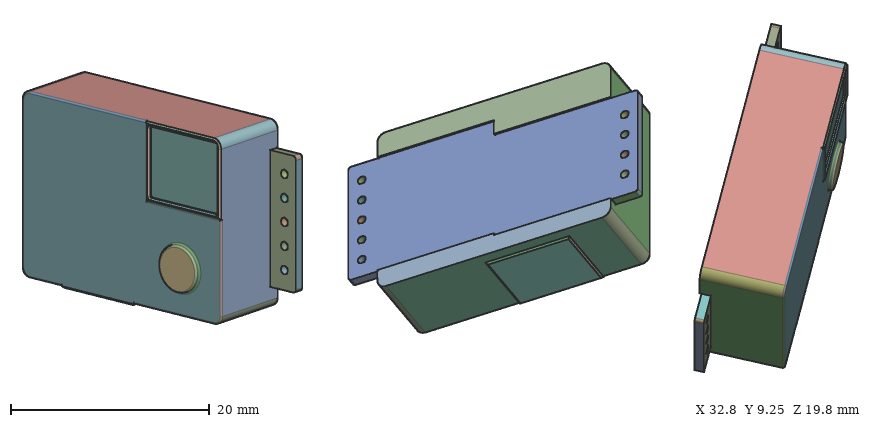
import cadquery as cq


overall_length = 32.8
left_tab_length = 3.0
right_tab_length = 3.4
housing_length = overall_length - left_tab_length - right_tab_length
housing_height = 19.6
housing_depth = 8.75
housing_left = -overall_length / 2 + left_tab_length
housing_right = housing_left + housing_length
housing_corner_radius = 1.0
step = 0.2
panel_root = 0.33

window_left = 3.08
window_bottom = 11.15
window_front = housing_depth + step
window_foot_radius = 0.2
recess_margin = 0.3
recess_corner_radius = 0.4
recess_bevel_angle = 45.0
recess_drop = 0.2

under_panel_left = -8.15
under_panel_length = 9.5
under_panel_rear = 1.18

button_diameter = 5.0
button_height = 0.5
button_round = 0.2
button_x = 7.58
button_z = 5.02

board_inset = 0.2
board_thickness = 1.0
board_step_x = (housing_left + housing_right) / 2
left_board_bottom = 2.13
left_board_height = 12.9
left_corner_radius = 0.3
right_board_bottom = 2.35
right_board_height = 14.4
right_corner_radius = 0.4
hole_diameter = 0.9
hole_pitch = 2.53
left_hole_count = 4
right_hole_count = 5
left_hole_x = -overall_length / 2 + left_tab_length / 2
right_hole_margin = 1.55
right_hole_x = overall_length / 2 - right_hole_margin


def block(x_range, depth_range, z_range):
    """Box between two X values, two depths in front of the rear plane and two Z values."""
    length = x_range[1] - x_range[0]
    depth = depth_range[1] - depth_range[0]
    height = z_range[1] - z_range[0]
    return cq.Workplane("XY").box(length, depth, height, centered=False).translate(
        (x_range[0], -depth_range[1], z_range[0])
    )


def board_blank(depth_range):
    """Stepped board outline, without corner rounds, over the given range of depths."""
    left_part = block(
        (-overall_length / 2, board_step_x),
        depth_range,
        (left_board_bottom, left_board_bottom + left_board_height),
    )
    right_part = block(
        (board_step_x, overall_length / 2),
        depth_range,
        (right_board_bottom, right_board_bottom + right_board_height),
    )
    return left_part.union(right_part)


def hole_column(x, middle_z, count):
    """Cutters for one vertical row of through holes, centred on middle_z."""
    return (
        cq.Workplane("XZ", origin=(x, 0, middle_z))
        .rarray(0.33, hole_pitch, 1, count)
        .circle(hole_diameter / 2)
        .extrude(board_inset + board_thickness)
    )


def make_board():
    board = board_blank((board_inset, board_inset + board_thickness))
    board = board.faces("<X").edges("|Y").fillet(left_corner_radius)
    board = board.faces(">X").edges("|Y").fillet(right_corner_radius)
    left_middle = left_board_bottom + left_board_height / 2
    right_middle = right_board_bottom + right_board_height / 2
    board = board.cut(hole_column(left_hole_x, left_middle, left_hole_count))
    return board.cut(hole_column(right_hole_x, right_middle, right_hole_count))


def make_window_panel():
    """Raised corner panel with bevelled edges and one rounded corner."""
    panel = block(
        (window_left, housing_right),
        (housing_depth - panel_root, window_front),
        (window_bottom, housing_height),
    )
    panel = panel.edges("|Y and >X and >Z").fillet(housing_corner_radius)
    return panel.faces("<Y").edges().chamfer(step)


def near(x, z):
    """Selector for the edge closest to a point on the plane of the front face."""
    return cq.selectors.NearestToPointSelector((x, -housing_depth, z))


def make_shell():
    """Main block with the window panel flared into it and a rounded front rim."""
    shell = block((housing_left, housing_right), (0, housing_depth), (0, housing_height))
    shell = shell.edges("|Y").fillet(housing_corner_radius)
    shell = shell.union(make_window_panel())
    middle_x = (window_left + housing_right) / 2
    middle_z = (window_bottom + housing_height) / 2
    panel_foot = shell.edges(near(window_left, middle_z)).add(shell.edges(near(middle_x, window_bottom)))
    shell = panel_foot.fillet(window_foot_radius)
    return shell.edges(near(housing_left, housing_height / 2)).fillet(step)


def make_under_panel():
    """Raised panel below the housing, flush with its front face, with bevelled edges."""
    panel = block(
        (under_panel_left, under_panel_left + under_panel_length),
        (under_panel_rear, housing_depth),
        (-step, panel_root),
    )
    return panel.faces("<Z").edges().chamfer(step)


def make_window_recess():
    """Cutter with a bevelled mouth and a straight-walled drop to the recess floor."""
    length = housing_right - window_left - 2 * recess_margin
    height = housing_height - window_bottom - 2 * recess_margin
    middle_x = (window_left + housing_right) / 2
    middle_z = (window_bottom + housing_height) / 2
    mouth = cq.Sketch().rect(length, height).vertices().fillet(recess_corner_radius)
    bevel = (
        cq.Workplane("XZ", origin=(middle_x, -window_front, middle_z))
        .placeSketch(mouth)
        .extrude(-step, taper=recess_bevel_angle)
    )
    return bevel.faces(">Y").wires().toPending().workplane().extrude(recess_drop)


def make_button():
    """Round button with a concave flare at its foot and a convex round at its rim."""
    radius = button_diameter / 2
    top = housing_depth + button_height
    foot = housing_depth - panel_root
    profile = (
        cq.Workplane("XY")
        .moveTo(0, -foot)
        .lineTo(radius + button_round, -foot)
        .lineTo(radius + button_round, -housing_depth)
        .radiusArc((radius, -(housing_depth + button_round)), -button_round)
        .lineTo(radius, -(top - button_round))
        .radiusArc((radius - button_round, -top), button_round)
        .lineTo(0, -top)
        .close()
    )
    return profile.revolve(360, (0, 0, 0), (0, 1, 0)).translate((button_x, 0, button_z))


def make_housing():
    housing = make_shell().union(make_under_panel())
    housing = housing.cut(make_window_recess()).union(make_button())
    return housing.cut(board_blank((0, board_inset + board_thickness))).solids()


housing = make_housing()
board = make_board()
result = cq.Compound.makeCompound([housing.val(), board.val()])